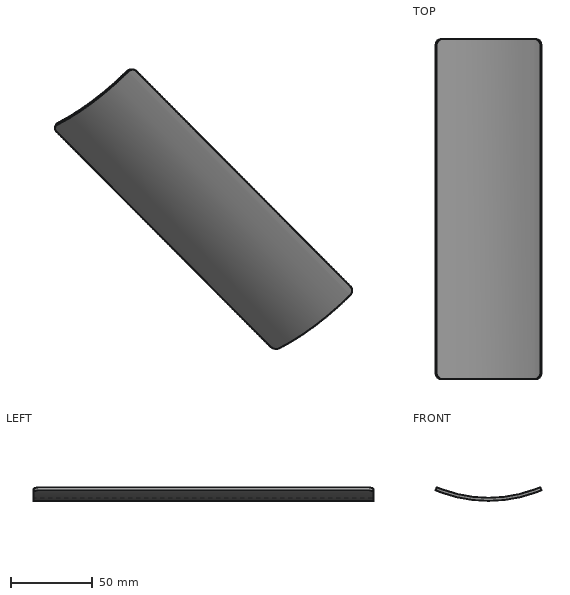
import cadquery as cq
import math

length = 210.0
width = 65.5
height = 8.6
thickness = 2.0
corner_radius = 4.0

half_width = width / 2


def arc_height(half_angle):
    outer = half_width / math.sin(half_angle)
    return outer - (outer - thickness) * math.cos(half_angle)


low_angle = math.radians(5)
high_angle = math.radians(60)
for _ in range(60):
    half_angle = (low_angle + high_angle) / 2
    if arc_height(half_angle) < height:
        low_angle = half_angle
    else:
        high_angle = half_angle

outer_radius = half_width / math.sin(half_angle)
inner_radius = outer_radius - thickness


def on_arc(radius, angle):
    """Point at an angle from straight down, with the lowest outer point at Z = 0."""
    return (radius * math.sin(angle), outer_radius - radius * math.cos(angle))


plate = (
    cq.Workplane("XZ")
    .moveTo(*on_arc(outer_radius, -half_angle))
    .threePointArc(on_arc(outer_radius, 0), on_arc(outer_radius, half_angle))
    .lineTo(*on_arc(inner_radius, half_angle))
    .threePointArc(on_arc(inner_radius, 0), on_arc(inner_radius, -half_angle))
    .close()
    .extrude(length / 2, both=True)
)

corner_edges = plate.faces("<Y or >Y").edges("%LINE")
result = corner_edges.fillet(corner_radius)